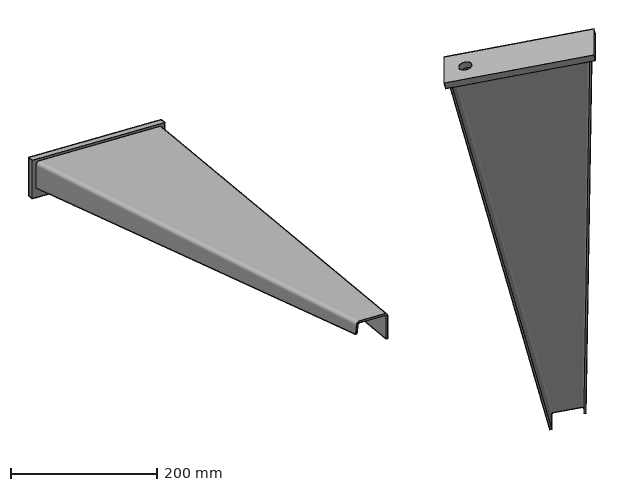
import cadquery as cq
import math

total_length = 620.5
plate_width = 210.0
plate_height = 60.0

plate_thickness = 10.0
bolt_hole_diameter = 18.0
bolt_hole_edge_distance = 30.0

sheet_thickness = 3.0
bend_radius = 5.5
arm_margin = 4.0
arm_depth = 40.5
tip_flange_depth = 20.0
tip_setback = 2.0
root_web_width = 190.5
tip_web_width = 40.0

arm_top = plate_height / 2 - arm_margin
back_bend_y = plate_width / 2 - arm_margin - bend_radius
root_bend_y = back_bend_y - root_web_width
tip_bend_y = back_bend_y - tip_web_width
slope_angle = math.atan2(tip_bend_y - root_bend_y, total_length - plate_thickness)
web_end_x = total_length - bend_radius * math.sin(slope_angle)


def make_plate():
    """Upright mounting plate with one bolt hole near its +Y edge."""
    hole_y = plate_width / 2 - bolt_hole_edge_distance
    return (
        cq.Workplane("YZ")
        .rect(plate_width, plate_height)
        .extrude(plate_thickness)
        .faces(">X")
        .workplane(origin=(plate_thickness, 0, 0))
        .center(hole_y, 0)
        .hole(bolt_hole_diameter)
    )


def make_flange(start, end, start_depth, end_depth, start_setback=0):
    """Bend and flange to the left of the bend line that runs from start to end.

    Depths are measured from the top face. Both ends are square to the bend line,
    except that the start's lower corner can be set back along it.
    """
    run = cq.Vector(*end) - cq.Vector(*start)
    length = run.Length
    outward = cq.Vector(0, 0, 1).cross(run)
    origin = (*start, arm_top)
    inner_radius = bend_radius - sheet_thickness
    deepest = max(start_depth, end_depth)
    diagonal = math.sqrt(0.5)

    def bend_middle(radius):
        return (radius * diagonal, radius * diagonal - bend_radius)

    folded_strip = (
        cq.Workplane(cq.Plane(origin=origin, xDir=outward, normal=run))
        .moveTo(0, 0)
        .threePointArc(bend_middle(bend_radius), (bend_radius, -bend_radius))
        .lineTo(bend_radius, -deepest)
        .lineTo(inner_radius, -deepest)
        .lineTo(inner_radius, -bend_radius)
        .threePointArc(bend_middle(inner_radius), (0, -sheet_thickness))
        .close()
        .extrude(length)
    )
    side_outline = (
        cq.Workplane(cq.Plane(origin=origin, xDir=run, normal=outward * -1))
        .polyline(
            [
                (0, 0),
                (length, 0),
                (length, -end_depth),
                (start_setback, -start_depth),
                (0, -bend_radius),
            ]
        )
        .close()
        .extrude(bend_radius, both=True)
    )
    return folded_strip.intersect(side_outline)


def make_arm():
    """Tapered web with a straight back flange and a sloping front flange."""
    root_back = (plate_thickness, back_bend_y)
    tip_back = (web_end_x, back_bend_y)
    tip_front = (web_end_x, tip_bend_y)
    root_front = (plate_thickness, root_bend_y)
    web = (
        cq.Workplane("XY", origin=(0, 0, arm_top))
        .polyline([root_back, tip_back, tip_front, root_front])
        .close()
        .extrude(-sheet_thickness)
    )
    back_flange = make_flange(root_back, tip_back, arm_depth, arm_depth)
    front_flange = make_flange(
        tip_front, root_front, tip_flange_depth, arm_depth, tip_setback
    )
    return web.union(back_flange).union(front_flange)


plate = make_plate()
arm = make_arm()
result = cq.Compound.makeCompound([plate.val(), arm.val()])